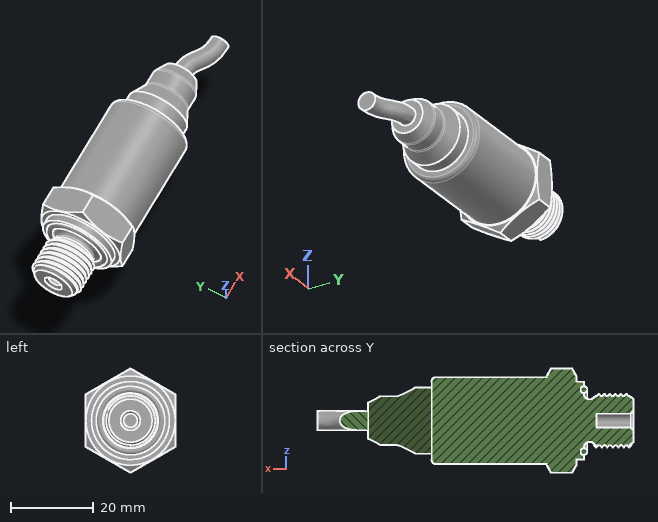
import cadquery as cq
import math


tip_dia = 10.5
thread_root_dia = 12.0
thread_crest_dia = 13.157
thread_pitch = 1.337
thread_ridge_width = 1.25
thread_turns = 6
thread_start_x = 1.1
thread_sink = 0.1
stud_taper_length = 1.0
root_end_x = 9.25
neck_dia = 10.5
neck_fillet = 1.15

port_dia = 3.3
port_mouth_dia = 4.8
port_depth = 9.0

flange_x = 12.05
flange_dia = 19.0
hex_x = 13.9
hex_length = 7.3
hex_across_flats = 22.0
hex_face_dia = 21.7
hex_chamfer_angle = 30.0

seal_outer_dia = 16.7
seal_inner_dia = 13.5

housing_dia = 21.2
housing_end_x = 49.2
housing_fillet = 1.1

gland_base_dia = 16.2
gland_base_end_x = 53.1
gland_neck_dia = 12.0
gland_neck_x = 57.3
gland_nose_x = 61.6
gland_nose_dia = 8.8
gland_end_x = 64.7
gland_blend = 1.2

cable_dia = 4.8
cable_drop = 4.15
cable_bend_overlap = 1.2
overall_length = 76.97

hex_end_x = hex_x + hex_length
neck_x = root_end_x + stud_taper_length
seal_tube_radius = (seal_outer_dia - seal_inner_dia) / 4
seal_ring_radius = (seal_outer_dia + seal_inner_dia) / 4


def revolve_about_x(outline):
    """Revolve a closed outline, drawn as (X, radius), around the X axis."""
    return outline.close().revolve(360, (0, 0, 0), (1, 0, 0))


def make_stud():
    """Stud core with tapered ends, the necked undercut, and the flange behind it."""
    root_radius = thread_root_dia / 2
    neck_radius = neck_dia / 2
    fillet_mid = neck_fillet * math.sqrt(0.5)
    outline = (
        cq.Workplane("XY")
        .lineTo(0, tip_dia / 2)
        .lineTo(stud_taper_length, root_radius)
        .lineTo(root_end_x, root_radius)
        .lineTo(neck_x, neck_radius)
        .lineTo(flange_x - neck_fillet, neck_radius)
        .threePointArc(
            (flange_x - neck_fillet + fillet_mid, neck_radius + neck_fillet - fillet_mid),
            (flange_x, neck_radius + neck_fillet),
        )
        .lineTo(flange_x, flange_dia / 2)
        .lineTo(hex_x, flange_dia / 2)
        .lineTo(hex_x, 0)
    )
    return revolve_about_x(outline)


def make_thread():
    """V-shaped thread ridge wound around the stud core, with its foot sunk into the core."""
    crest_radius = thread_crest_dia / 2
    foot_radius = thread_root_dia / 2 - thread_sink
    helix = cq.Wire.makeHelix(thread_pitch, thread_turns * thread_pitch, foot_radius)
    ridge = (
        cq.Workplane("XZ")
        .moveTo(foot_radius, -thread_ridge_width / 2)
        .lineTo(crest_radius, 0)
        .lineTo(foot_radius, thread_ridge_width / 2)
        .close()
        .sweep(cq.Workplane(helix), isFrenet=True)
    )
    return ridge.rotate((0, 0, 0), (0, 1, 0), 90).translate((thread_start_x, 0, 0))


def make_hexagon():
    """Hexagon with two corners on the Z axis and both ends chamfered to a circle."""
    corner_dia = hex_across_flats / math.cos(math.pi / 6)
    prism = (
        cq.Workplane("YZ", origin=(hex_x, 0, 0))
        .transformed(rotate=(0, 0, 90))
        .polygon(6, corner_dia)
        .extrude(hex_length)
    )
    chamfer_length = (corner_dia - hex_face_dia) / 2 * math.tan(math.radians(hex_chamfer_angle))
    outline = (
        cq.Workplane("XY")
        .moveTo(hex_x, 0)
        .lineTo(hex_x, hex_face_dia / 2)
        .lineTo(hex_x + chamfer_length, corner_dia / 2)
        .lineTo(hex_end_x - chamfer_length, corner_dia / 2)
        .lineTo(hex_end_x, hex_face_dia / 2)
        .lineTo(hex_end_x, 0)
    )
    return prism.intersect(revolve_about_x(outline))


def make_housing_tube():
    """Cylindrical housing with its cable-side rim rounded."""
    return (
        cq.Workplane("YZ", origin=(hex_end_x, 0, 0))
        .circle(housing_dia / 2)
        .extrude(housing_end_x - hex_end_x)
        .faces(">X")
        .edges()
        .fillet(housing_fillet)
    )


def make_port():
    """Blind pressure port with a 45 degree countersunk mouth, as a cutting tool."""
    mouth_depth = (port_mouth_dia - port_dia) / 2
    outline = (
        cq.Workplane("XY")
        .lineTo(0, port_mouth_dia / 2)
        .lineTo(mouth_depth, port_dia / 2)
        .lineTo(port_depth, port_dia / 2)
        .lineTo(port_depth, 0)
    )
    return revolve_about_x(outline)


def make_seal_ring():
    """O-ring centred on the flange face."""
    return (
        cq.Workplane("XY")
        .center(flange_x, seal_ring_radius)
        .circle(seal_tube_radius)
        .revolve(360, (-flange_x, -seal_ring_radius, 0), (1 - flange_x, -seal_ring_radius, 0))
    )


def make_body():
    """Stud, hexagon and housing in one piece, bored for the port and grooved for the seal."""
    return (
        make_stud()
        .union(make_thread())
        .union(make_hexagon())
        .union(make_housing_tube())
        .cut(make_port())
        .cut(make_seal_ring())
    )


def make_gland():
    """Stepped cable gland, blended at both ends of its narrow neck."""
    outline = (
        cq.Workplane("XY")
        .moveTo(housing_end_x, 0)
        .lineTo(housing_end_x, gland_base_dia / 2)
        .lineTo(gland_base_end_x, gland_base_dia / 2)
        .lineTo(gland_neck_x, gland_neck_dia / 2)
        .lineTo(gland_nose_x, gland_neck_dia / 2)
        .lineTo(gland_end_x, gland_nose_dia / 2)
        .lineTo(gland_end_x, 0)
    )
    neck_ends = cq.selectors.BoxSelector(
        (gland_neck_x - gland_blend, -gland_neck_dia, -gland_neck_dia),
        (gland_nose_x + gland_blend, gland_neck_dia, gland_neck_dia),
        boundingbox=True,
    )
    return revolve_about_x(outline).edges(neck_ends).edges("%CIRCLE").fillet(gland_blend)


def make_cable():
    """Round cable leaving the gland straight and easing over toward -Y in a smooth S-bend."""
    middle_x = (gland_end_x + overall_length) / 2
    path = cq.Workplane("XY").bezier(
        [
            (gland_end_x, 0),
            (middle_x, 0),
            (middle_x - cable_bend_overlap, -cable_drop),
            (overall_length, -cable_drop),
        ]
    )
    return cq.Workplane("YZ", origin=(gland_end_x, 0, 0)).circle(cable_dia / 2).sweep(path)


body = make_body()
seal_ring = make_seal_ring()
gland = make_gland()
cable = make_cable()

result = cq.Compound.makeCompound([body.val(), seal_ring.val(), gland.val(), cable.val()])